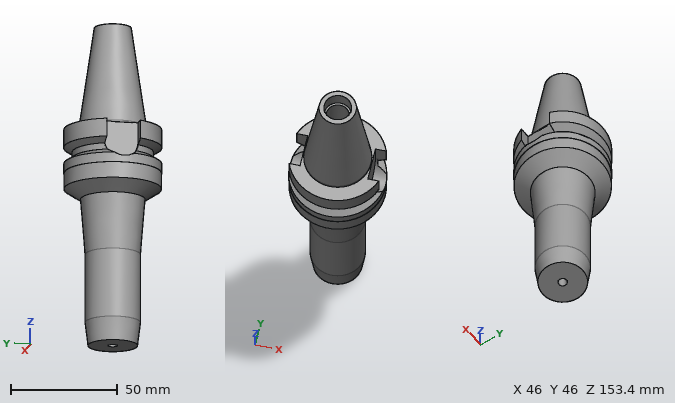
import cadquery as cq

total_length = 153.4
nose_height = 11.0
neck_bottom = 43.9
neck_top = 70.5
flange_bottom = 75.6
flange_step = 83.1
lower_rim_top = 87.7
groove_bottom = 90.2
groove_top = 93.3
upper_rim_bottom = 95.5
flange_top = 104.2
taper_bottom = 105.1

nose_radius = 11.7
body_radius = 13.0
neck_radius = 15.2
flange_radius = 23.0
flange_relief = 0.2
groove_radius = 19.2
taper_large_radius = 16.0
taper_small_radius = 8.7

slot_width = 16.3
slot_floor_offset = 16.3
slot_bottom = 86.4

bore_steps = [
    (6.5, 7.4),
    (5.4, 24.5),
    (3.2, 33.7),
    (2.1, total_length),
]


def make_body():
    """Turned holder: nose, body, neck, grooved flange and taper."""
    relieved_radius = flange_radius - flange_relief
    profile = [
        (0, 0),
        (nose_radius, 0),
        (body_radius, nose_height),
        (body_radius, neck_bottom),
        (neck_radius, neck_top),
        (relieved_radius, flange_bottom),
        (relieved_radius, flange_step),
        (flange_radius, flange_step),
        (flange_radius, lower_rim_top),
        (groove_radius, groove_bottom),
        (groove_radius, groove_top),
        (flange_radius, upper_rim_bottom),
        (flange_radius, flange_top),
        (taper_large_radius, flange_top),
        (taper_large_radius, taper_bottom),
        (taper_small_radius, total_length),
        (0, total_length),
    ]
    return cq.Workplane("XZ").polyline(profile).close().revolve(360, (0, 0, 0), (0, 1, 0))


def make_drive_slot(side):
    """Cutter for the slot on the +X (side = 1) or -X (side = -1) flank."""
    half_width = slot_width / 2
    arc_center = slot_bottom + half_width
    return (
        cq.Workplane("YZ", origin=(side * slot_floor_offset, 0, 0))
        .moveTo(-half_width, flange_top)
        .lineTo(-half_width, arc_center)
        .threePointArc((0, slot_bottom), (half_width, arc_center))
        .lineTo(half_width, flange_top)
        .close()
        .extrude(side * flange_radius)
    )


def make_bore_step(radius, depth):
    """Cutter for one cylindrical step of the axial bore."""
    return cq.Workplane("XY", origin=(0, 0, total_length - depth)).circle(radius).extrude(depth)


result = make_body()
for side in (-1, 1):
    result = result.cut(make_drive_slot(side))
for radius, depth in bore_steps:
    result = result.cut(make_bore_step(radius, depth))